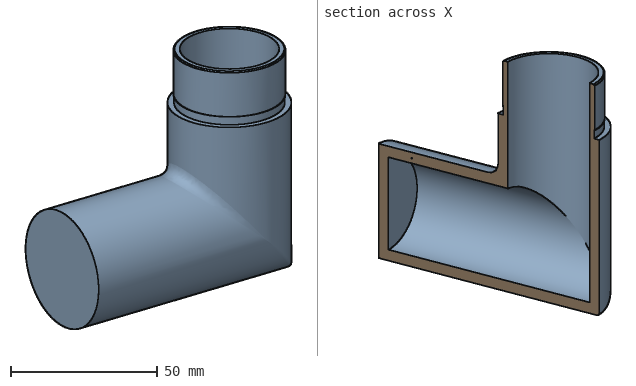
import cadquery as cq
import math

length = 92.0
height = 85.0
tube_diameter = 42.4

bore_diameter = 33.95
spigot_diameter = 38.4
spigot_height = 20.0
groove_diameter = 38.0
groove_height = 3.0
spigot_chamfer = 0.5

inner_fillet = 4.0
outer_fillet = 1.5

tube_radius = tube_diameter / 2
top_z = height - tube_radius
shoulder_z = top_z - spigot_height
leg_length = length - tube_radius
end_wall = (tube_diameter - bore_diameter) / 2

join_tolerance = 0.0001


def mitred_elbow(diameter, rise, reach):
    """Upright and level round bars of one diameter, joined on a 45 degree mitre."""
    radius = diameter / 2
    upright = cq.Workplane("XY", origin=(0, 0, -radius)).circle(radius).extrude(rise + radius)
    level = cq.Workplane("XZ", origin=(0, radius, 0)).circle(radius).extrude(reach + radius)

    span = rise + reach
    upright_side = (
        cq.Workplane("YZ")
        .polyline([(-span, span), (span, -span), (span, span)])
        .close()
        .extrude(diameter, both=True)
    )
    return upright.intersect(upright_side).union(level.cut(upright_side))


def mitre_wedge(slope, side):
    """Wedge between the planes z = -y * slope and z = -y / slope.

    It lies on the inner half of the mitre for side 1 and on the outer half for side -1.
    """
    reach = side * tube_diameter
    return (
        cq.Workplane("YZ")
        .polyline([(0, 0), (-reach, reach * slope), (-reach * slope, reach)])
        .close()
        .extrude(tube_diameter, both=True)
    )


def rolling_ball(spine_radius, fillet):
    """Ring swept by a ball of the fillet radius that touches both legs along the mitre.

    The ball's centre follows the mitre ellipse of two bars of the spine radius.
    """
    mitre_plane = cq.Plane(origin=(0, 0, 0), xDir=(1, 0, 0), normal=(0, -1, -1))
    spine = cq.Workplane(mitre_plane).ellipse(spine_radius, spine_radius * math.sqrt(2))
    start = cq.Plane(origin=(spine_radius, 0, 0), xDir=(1, 0, 0), normal=(0, -1, 1))
    return cq.Workplane(start).circle(fillet).sweep(spine)


def elbow_core(diameter):
    """Short elbow that reaches past both mitre wedges."""
    return mitred_elbow(diameter, tube_diameter + leg_length, tube_diameter + leg_length)


def rounded_elbow():
    """Elbow whose mitre wedges are replaced by wedges with tangent rounds."""
    inner_spine = tube_radius + inner_fillet
    inner_wedge = mitre_wedge(inner_spine / tube_radius, 1)
    inner_round = (
        elbow_core(tube_diameter + inner_fillet)
        .intersect(inner_wedge)
        .cut(rolling_ball(inner_spine, inner_fillet))
    )

    outer_spine = tube_radius - outer_fillet
    outer_wedge = mitre_wedge(tube_radius / outer_spine, -1)
    outer_round = (
        elbow_core(tube_diameter - outer_fillet)
        .intersect(outer_wedge)
        .union(rolling_ball(outer_spine, outer_fillet).intersect(outer_wedge))
    )

    legs = mitred_elbow(tube_diameter, shoulder_z, leg_length).cut(inner_wedge).cut(outer_wedge)
    return legs.union(inner_round, tol=join_tolerance).union(outer_round, tol=join_tolerance)


def spigot():
    """Chamfered collar above a shallow groove, standing on the shoulder."""
    groove = (
        cq.Workplane("XY", origin=(0, 0, shoulder_z))
        .circle(groove_diameter / 2)
        .extrude(groove_height)
    )
    collar = (
        cq.Workplane("XY", origin=(0, 0, shoulder_z + groove_height))
        .circle(spigot_diameter / 2)
        .extrude(spigot_height - groove_height)
        .faces(">Z")
        .edges()
        .chamfer(spigot_chamfer)
    )
    return groove.union(collar)


bore = mitred_elbow(bore_diameter, top_z, leg_length - end_wall)
result = rounded_elbow().union(spigot()).cut(bore)